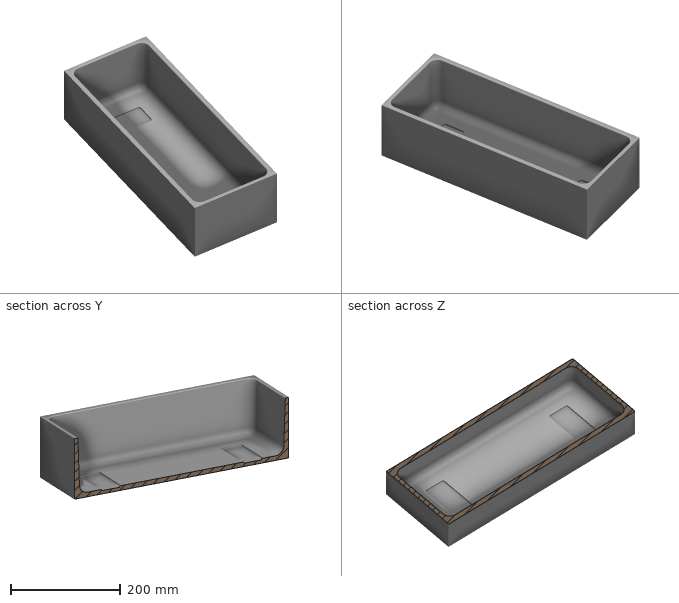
import cadquery as cq

LENGTH = 447.5
WIDTH = 177.5
HEIGHT = 119.0

FLOOR_THICKNESS = 10.0
RIM_WIDTH_X = 7.5
RIM_WIDTH_Y = 9.5
DRAFT_ANGLE = 2.0
CAVITY_FILLET = 16.0
RIM_FILLET = 1.6

RECESS_LENGTH_X = 44.5
RECESS_LENGTH_Y = 82.5
RECESS_DEPTH = 3.5
RECESS_CORNER_RADIUS = 4.5
RECESS_FLOOR_FILLET = 1.5
RECESS_SPACING = 296.7


def make_block():
    return cq.Workplane("XY").box(LENGTH, WIDTH, HEIGHT, centered=(True, True, False))


def make_cavity():
    """Tapered pocket volume, widest at the rim, with rounded corners and floor edges."""
    depth = HEIGHT - FLOOR_THICKNESS
    pocket = (
        cq.Workplane("XY", origin=(0, 0, HEIGHT))
        .rect(LENGTH - 2 * RIM_WIDTH_X, WIDTH - 2 * RIM_WIDTH_Y)
        .extrude(-depth, taper=DRAFT_ANGLE)
    )
    return pocket.edges("not >Z").fillet(CAVITY_FILLET)


def round_rim(tray):
    opening_edges = tray.faces(">Z").val().innerWires()[0].Edges()
    return tray.newObject(opening_edges).fillet(RIM_FILLET)


def make_recess(x_centre):
    return (
        cq.Workplane("XY", origin=(x_centre, 0, FLOOR_THICKNESS - RECESS_DEPTH))
        .rect(RECESS_LENGTH_X, RECESS_LENGTH_Y)
        .extrude(RECESS_DEPTH)
        .edges("|Z")
        .fillet(RECESS_CORNER_RADIUS)
        .faces("<Z")
        .edges()
        .fillet(RECESS_FLOOR_FILLET)
    )


tray = round_rim(make_block().cut(make_cavity()))
for side in (-1, 1):
    tray = tray.cut(make_recess(side * RECESS_SPACING / 2))

result = tray